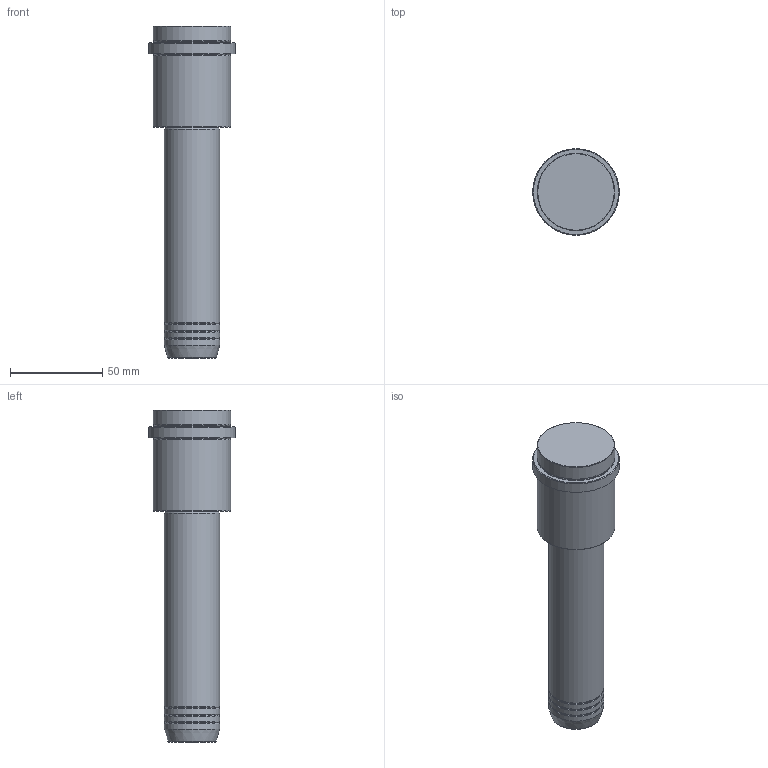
import cadquery as cq

total_length = 180.0
shaft_radius = 30.0 / 2
head_radius = 42.0 / 2
flange_radius = 47.0 / 2

head_length = 55.0
flange_top_depth = 9.0
flange_thickness = 6.0
head_bottom = total_length - head_length
flange_top = total_length - flange_top_depth
flange_bottom = flange_top - flange_thickness

head_chamfer = 0.25
flange_chamfer = 0.4

relief_width = 1.0
relief_depth = 0.25
neck_taper = 0.5
neck_radius = shaft_radius - neck_taper

lead_in_height = 7.0
lead_in_radius = 13.2
lead_in_bulge = 0.1
tip_chamfer = 0.5

groove_count = 3
groove_pitch = 4.0
first_groove_height = 10.5
groove_width = 1.0
groove_depth = 0.35


def make_shaft():
    """Shaft with a convex lead-in, a chamfered tip and a tapered neck under the head."""
    lead_in_middle = (
        (shaft_radius + lead_in_radius) / 2 + lead_in_bulge,
        (lead_in_height + tip_chamfer) / 2,
    )
    return (
        cq.Workplane("XZ")
        .lineTo(lead_in_radius - tip_chamfer, 0)
        .lineTo(lead_in_radius, tip_chamfer)
        .threePointArc(lead_in_middle, (shaft_radius, lead_in_height))
        .lineTo(shaft_radius, head_bottom - relief_width)
        .lineTo(neck_radius, head_bottom)
        .lineTo(0, head_bottom)
        .close()
        .revolve(360, (0, 0, 0), (0, 1, 0))
    )


def make_disc(radius, bottom, top):
    """Solid disc on the part axis."""
    return cq.Workplane("XY").workplane(offset=bottom).circle(radius).extrude(top - bottom)


def make_groove_cutter(radius, depth, middle, width):
    """Ring that cuts a V-shaped groove into a cylinder of the given radius."""
    return (
        cq.Workplane("XZ")
        .moveTo(radius, middle - width / 2)
        .lineTo(radius - depth, middle)
        .lineTo(radius, middle + width / 2)
        .close()
        .revolve(360, (0, 0, 0), (0, 1, 0))
    )


def make_head():
    """Cylindrical head with a flange and a relief groove on each side of it."""
    body = make_disc(head_radius, head_bottom, total_length)
    body = body.edges("%CIRCLE").chamfer(head_chamfer)
    for groove_middle in (flange_top + relief_width / 2, flange_bottom - relief_width / 2):
        body = body.cut(make_groove_cutter(head_radius, relief_depth, groove_middle, relief_width))
    flange = make_disc(flange_radius, flange_bottom, flange_top)
    flange = flange.faces(">Z").edges().chamfer(flange_chamfer)
    return body.union(flange)


def cut_lubrication_grooves(shaft):
    """Cut the evenly spaced grooves near the tip."""
    for index in range(groove_count):
        groove_middle = first_groove_height + index * groove_pitch
        shaft = shaft.cut(make_groove_cutter(shaft_radius, groove_depth, groove_middle, groove_width))
    return shaft


result = cut_lubrication_grooves(make_shaft()).union(make_head())